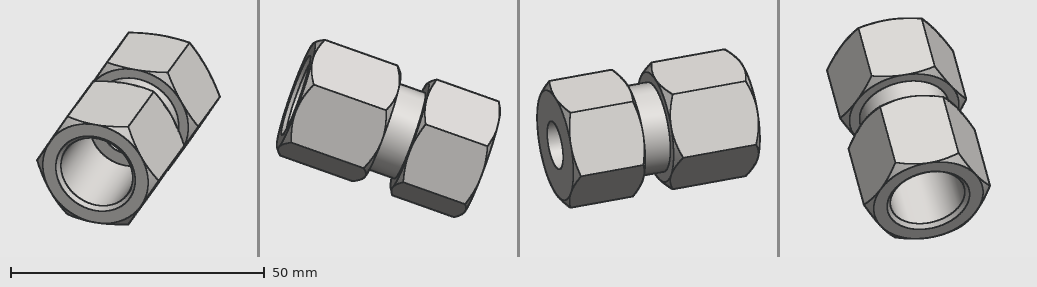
import cadquery as cq
import math

across_flats = 22.0
across_corners = across_flats / math.cos(math.radians(30))

front_nut_length = 18.0
neck_length = 5.9
back_nut_length = 15.0
total_length = front_nut_length + neck_length + back_nut_length
back_nut_start = front_nut_length + neck_length

neck_diameter = 18.0

front_nut_chamfer = 1.4
back_nut_chamfer = 1.0

bore_diameter = 9.6
socket_diameter = 15.0
socket_depth = front_nut_length
mouth_diameter = 16.6
mouth_depth = 0.8


def revolve_about_y(points):
    """Solid of revolution about Y from (radius, y) points."""
    return cq.Workplane("XY").polyline(points).close().revolve(360, (0, 0), (0, 1))


def hex_nut(start, length, chamfer):
    """Hexagonal prism along Y, corners pointing along X, conically chamfered at both ends."""
    end = start + length
    prism = (
        cq.Workplane("XZ", origin=(0, start, 0))
        .polygon(6, across_corners)
        .extrude(-length)
    )
    flat_radius = across_flats / 2
    corner_radius = across_corners / 2
    envelope = revolve_about_y([
        (0, start),
        (flat_radius, start),
        (corner_radius, start + chamfer),
        (corner_radius, end - chamfer),
        (flat_radius, end),
        (0, end),
    ])
    return prism.intersect(envelope)


def neck():
    """Round body joining the two nuts."""
    return (
        cq.Workplane("XZ", origin=(0, front_nut_length, 0))
        .circle(neck_diameter / 2)
        .extrude(-neck_length)
    )


def stepped_bore():
    """Through bore with a socket and a tapered mouth at the front end."""
    return revolve_about_y([
        (0, 0),
        (mouth_diameter / 2, 0),
        (socket_diameter / 2, mouth_depth),
        (socket_diameter / 2, socket_depth),
        (bore_diameter / 2, socket_depth),
        (bore_diameter / 2, total_length),
        (0, total_length),
    ])


front_nut = hex_nut(0, front_nut_length, front_nut_chamfer)
back_nut = hex_nut(back_nut_start, back_nut_length, back_nut_chamfer)
result = front_nut.union(neck()).union(back_nut).cut(stepped_bore())